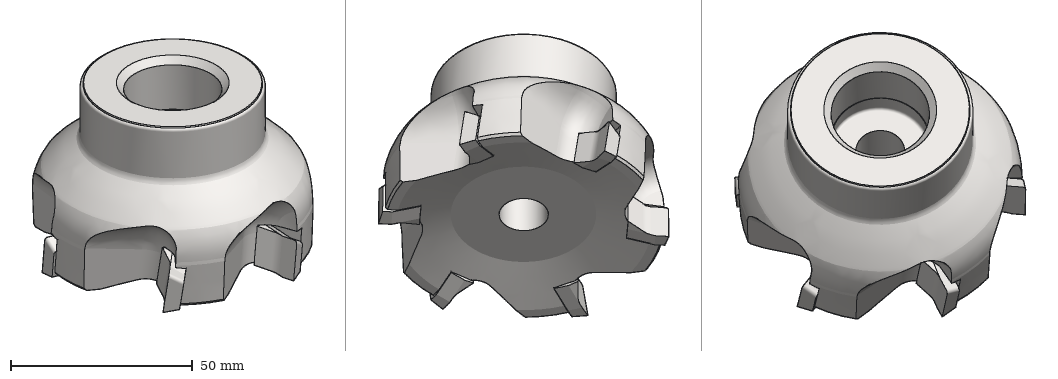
import cadquery as cq
import math

TOTAL_HEIGHT = 50.0
INSERT_COUNT = 6
SEAM_ANGLE = 15.0
AXIAL_RAKE = 8.0

HUB_RADIUS = 51.0 / 2
HUB_TOP_RADIUS = 49.0 / 2
HUB_ROUNDING_HEIGHT = 1.2
HUB_ROUNDING_END = (24.7, 49.65)
HUB_BOTTOM_Z = 34.2
NECK_RADIUS = 26.4
NECK_Z = 32.5
BLEND_MID_SHARE = 0.3
SHOULDER_MID = (32.6, 27.6)
SHOULDER_RADIUS = 36.2
SHOULDER_Z = 24.0
DOME_MID = (38.45, 18.9)
DOME_BOTTOM_RADIUS = 38.9
DOME_BOTTOM_Z = 15.2
SKIRT_TOP_RADIUS = 39.04
SKIRT_TOP_Z = 14.2
SKIRT_BOTTOM_RADIUS = 38.7
SKIRT_BOTTOM_Z = 2.1
RIM_RADIUS = 38.1
RIM_Z = 1.3
DISH_OUTER_RADIUS = 35.2
DISH_ANGLE = 16.0
DISH_INNER_RADIUS = 20.0

BORE_RADIUS = 27.01 / 2
BORE_MOUTH_RADIUS = 15.5
BORE_MOUTH_DEPTH = 2.0
RELIEF_RADIUS = 27.5 / 2
RELIEF_TOP_Z = 34.0
BORE_FLOOR_Z = 28.0
BORE_FLOOR_FILLET = 0.8
SCREW_HOLE_RADIUS = 13.5 / 2

FLUTE_ROOT = (27.75, -8.2)
FLUTE_WALL_ANGLE = 15.5
FLUTE_WALL_END_Y = -30.0
FLUTE_FACE = (32.3, 0.8)
FLUTE_FACE_ANGLE = 7.0
RUNOUT_RADIUS_CENTRE = 40.8
RUNOUT_Z = 11.7
RUNOUT_TURN = 60.0
RUNOUT_EXIT_LENGTH = 8.0
CUT_BELOW = 6.0

TIP_RADIUS = 80.01 / 2
INSERT_INNER_RADIUS = 28.6
INSERT_THICKNESS = 4.4
INSERT_HEIGHT = 12.0
INSERT_CORNER_RADIUS = 1.0
WIPER_INNER_RADIUS = 36.4
INSERT_TOP_KINK_RADIUS = 35.2
INSERT_END_SLOPE = DISH_ANGLE
INSERT_FLANK_RELIEF = 11.0
INSERT_WIPER_RELIEF = 16.0
INSERT_TOP_RELIEF = 24.0
NOSE_PROJECTION = 2.9
NOSE_FOOT_RADIUS = 34.0
NOSE_FILLET = 4.6

SEAT_CEILING_Z = 14.05
SEAT_GAP_BOTTOM_Z = 9.5
SEAT_OUTER_RADIUS = 45.0


def slope_rise(run, angle):
    return run * math.tan(math.radians(angle))


def place(shape, index):
    """Tilt a shape by the axial rake and turn it to the given insert station."""
    tilted = shape.rotate((0, 0, 0), (1, 0, 0), -AXIAL_RAKE)
    return tilted.rotate((0, 0, 0), (0, 0, 1), index * 360.0 / INSERT_COUNT)


def make_blank():
    """Body of revolution: hub, shoulder, dome, skirt, dished underside and bore."""
    dish_z = RIM_Z + slope_rise(DISH_OUTER_RADIUS - DISH_INNER_RADIUS, DISH_ANGLE)
    blend_mid_radius = HUB_RADIUS + BLEND_MID_SHARE * (NECK_RADIUS - HUB_RADIUS)
    blend_mid = (blend_mid_radius, (HUB_BOTTOM_Z + NECK_Z) / 2)
    fillet_axis_r = RELIEF_RADIUS - BORE_FLOOR_FILLET
    diagonal = BORE_FLOOR_FILLET * math.sqrt(0.5)
    fillet_mid = (fillet_axis_r + diagonal, BORE_FLOOR_Z + BORE_FLOOR_FILLET - diagonal)
    profile = (
        cq.Workplane("XZ")
        .moveTo(SCREW_HOLE_RADIUS, dish_z)
        .lineTo(DISH_INNER_RADIUS, dish_z)
        .lineTo(DISH_OUTER_RADIUS, RIM_Z)
        .lineTo(RIM_RADIUS, RIM_Z)
        .lineTo(SKIRT_BOTTOM_RADIUS, SKIRT_BOTTOM_Z)
        .lineTo(SKIRT_TOP_RADIUS, SKIRT_TOP_Z)
        .lineTo(DOME_BOTTOM_RADIUS, DOME_BOTTOM_Z)
        .threePointArc(DOME_MID, (SHOULDER_RADIUS, SHOULDER_Z))
        .threePointArc(SHOULDER_MID, (NECK_RADIUS, NECK_Z))
        .threePointArc(blend_mid, (HUB_RADIUS, HUB_BOTTOM_Z))
        .lineTo(HUB_RADIUS, TOTAL_HEIGHT - HUB_ROUNDING_HEIGHT)
        .tangentArcPoint(HUB_ROUNDING_END, relative=False)
        .lineTo(HUB_TOP_RADIUS, TOTAL_HEIGHT)
        .lineTo(BORE_MOUTH_RADIUS, TOTAL_HEIGHT)
        .lineTo(BORE_RADIUS, TOTAL_HEIGHT - BORE_MOUTH_DEPTH)
        .lineTo(BORE_RADIUS, RELIEF_TOP_Z)
        .lineTo(RELIEF_RADIUS, RELIEF_TOP_Z - (RELIEF_RADIUS - BORE_RADIUS))
        .lineTo(RELIEF_RADIUS, BORE_FLOOR_Z + BORE_FLOOR_FILLET)
        .threePointArc(fillet_mid, (fillet_axis_r, BORE_FLOOR_Z))
        .lineTo(SCREW_HOLE_RADIUS, BORE_FLOOR_Z)
        .close()
    )
    blank = profile.revolve(360, (0, 0, 0), (0, 1, 0))
    return blank.rotate((0, 0, 0), (0, 0, 1), SEAM_ANGLE)


def flute_section(height):
    """Flute cross-section: flat back wall, rounded root and trailing face."""
    wall_end_x = FLUTE_ROOT[0] + slope_rise(FLUTE_ROOT[1] - FLUTE_WALL_END_Y, FLUTE_WALL_ANGLE)
    face_end_y = FLUTE_FACE[1] + slope_rise(RUNOUT_RADIUS_CENTRE - FLUTE_FACE[0], FLUTE_FACE_ANGLE)
    return (
        cq.Workplane("XY", origin=(0, 0, height))
        .moveTo(RUNOUT_RADIUS_CENTRE, FLUTE_WALL_END_Y)
        .lineTo(wall_end_x, FLUTE_WALL_END_Y)
        .lineTo(*FLUTE_ROOT)
        .tangentArcPoint(FLUTE_FACE, relative=False)
        .lineTo(RUNOUT_RADIUS_CENTRE, face_end_y)
        .close()
    )


def make_flute():
    """Straight flute whose upper end turns outward about a tangential axis, then leaves straight."""
    straight = flute_section(-CUT_BELOW).extrude(CUT_BELOW + RUNOUT_Z)
    turn = flute_section(RUNOUT_Z).revolve(
        RUNOUT_TURN, (RUNOUT_RADIUS_CENTRE, 0, 0), (RUNOUT_RADIUS_CENTRE, 1, 0)
    )
    leaving = flute_section(RUNOUT_Z).extrude(RUNOUT_EXIT_LENGTH).rotate(
        (RUNOUT_RADIUS_CENTRE, 0, RUNOUT_Z), (RUNOUT_RADIUS_CENTRE, 1, RUNOUT_Z), RUNOUT_TURN
    )
    return straight.union(turn).union(leaving)


def insert_outline(plane, depth=0.0):
    """Insert outline at a depth behind the rake face: wiper, tip, rounded heel, two sloped ends."""
    tip_x = TIP_RADIUS - slope_rise(depth, INSERT_FLANK_RELIEF)
    bottom_z = slope_rise(depth, INSERT_WIPER_RELIEF)
    top_z = INSERT_HEIGHT - slope_rise(depth, INSERT_TOP_RELIEF)
    inner_bottom_z = bottom_z + slope_rise(WIPER_INNER_RADIUS - INSERT_INNER_RADIUS, INSERT_END_SLOPE)
    inner_top_z = top_z + slope_rise(INSERT_TOP_KINK_RADIUS - INSERT_INNER_RADIUS, INSERT_END_SLOPE)
    return (
        plane
        .moveTo(WIPER_INNER_RADIUS, bottom_z)
        .lineTo(tip_x, bottom_z)
        .lineTo(tip_x, top_z - INSERT_CORNER_RADIUS)
        .radiusArc((tip_x - INSERT_CORNER_RADIUS, top_z), -INSERT_CORNER_RADIUS)
        .lineTo(INSERT_TOP_KINK_RADIUS, top_z)
        .lineTo(INSERT_INNER_RADIUS, inner_top_z)
        .lineTo(INSERT_INNER_RADIUS, inner_bottom_z)
        .close()
    )


def make_insert():
    """Cutting insert: relieved block behind the rake face and a sloping nose ahead of it."""
    back_plane = insert_outline(cq.Workplane("XZ")).workplane(offset=-INSERT_THICKNESS)
    block = insert_outline(back_plane, INSERT_THICKNESS).loft(ruled=True)
    nose_plate = insert_outline(cq.Workplane("XZ")).extrude(NOSE_PROJECTION)
    nose_wedge = (
        cq.Workplane("XY")
        .moveTo(INSERT_INNER_RADIUS, 0)
        .lineTo(INSERT_INNER_RADIUS, -NOSE_PROJECTION)
        .lineTo(NOSE_FOOT_RADIUS, 0)
        .close()
        .extrude(TOTAL_HEIGHT)
    )
    sharp = block.union(nose_plate.intersect(nose_wedge))
    nose_foot = cq.selectors.NearestToPointSelector((NOSE_FOOT_RADIUS, 0, INSERT_HEIGHT / 2))
    return sharp.edges(nose_foot).fillet(NOSE_FILLET)


def make_seat_gap():
    """Clearance between the insert's upper end and the ceiling of its seat."""
    return cq.Workplane("XY").box(
        SEAT_OUTER_RADIUS - INSERT_INNER_RADIUS,
        NOSE_PROJECTION + INSERT_THICKNESS,
        SEAT_CEILING_Z - SEAT_GAP_BOTTOM_Z,
        centered=False,
    ).translate((INSERT_INNER_RADIUS, -NOSE_PROJECTION, SEAT_GAP_BOTTOM_Z))


flute = make_flute()
insert = make_insert()
seat_gap = make_seat_gap()

body = make_blank()
inserts = []
for station in range(INSERT_COUNT):
    placed_insert = place(insert, station)
    body = body.cut(place(flute, station)).cut(place(seat_gap, station)).cut(placed_insert)
    inserts.append(placed_insert)

result = cq.Compound.makeCompound([body.val(), *[item.val() for item in inserts]])